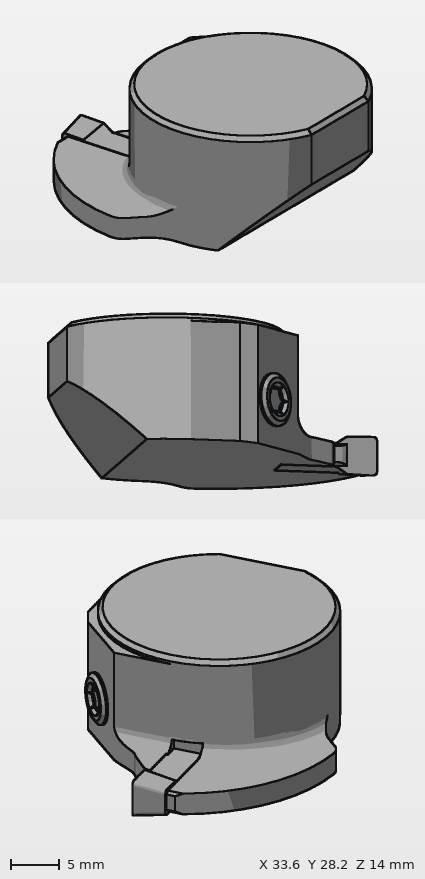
import cadquery as cq
import math

HEAD_RADIUS = 12.5
HEAD_HEIGHT = 13.2
HEAD_CHAMFER = 0.5
HEAD_FLAT_X = 11.5
RELIEF_START_X = 4.5

SHOULDER_HEIGHT = 12.4
SHOULDER_TOP_X = -5.15
SEAT_TOP = (-7.2, 11.6)
SEAT_LOW = (-HEAD_RADIUS, SEAT_TOP[1] - (HEAD_RADIUS + SEAT_TOP[0]))

FOOT_THICKNESS = 2.4
FOOT_BLEND = 1.6
BLEND_TOP = FOOT_THICKNESS + FOOT_BLEND
BLEND_REACH = HEAD_RADIUS + FOOT_BLEND

RIM_CENTER = (-4.6, 2.1)
RIM_RADIUS = 17.89
NOSE_X = -21.25
NOSE_CHAMFER = 0.32
TAIL_BLEND = 5.0
TAIL_CORNER = 2.0

JAW_BEND_START = (-12.95, 5.65)
JAW_BEND_END = (-14.06, 3.76)
JAW_NECK_MIDDLE = (-14.5, 3.2)
JAW_NECK_END = (-15.15, 2.7)
JAW_TIP_START = (-17.1, 0.95)
JAW_TIP_MIDDLE = (-17.36, 0.56)
JAW_TIP_X = -17.5

INSERT_WIDTH = 3.5
SLOT_END_X = -12.0
SLOT_TOP = 3.7
SLOT_LIP = 0.22
SHANK_HEIGHT = 2.5
INSERT_MID_Z = FOOT_THICKNESS / 2
TIP_X = -22.1
TIP_HALF_HEIGHT = 2.04
TIP_BACK_X = -18.9
TIP_BACK_TAPER = 0.08
TIP_CORNER = 0.45
SIDE_RELIEF = 0.57
FRONT_RELIEF = 0.45
TIP_SLOPE = 1.5
TIP_HEEL_BLEND = 0.4
BUMP_HEIGHT = 0.5
BUMP_HALF_HEIGHT = 1.15
BUMP_BEVEL = 0.3
BUMP_CREST_X = -18.0

SCREW_Y = 9.45
SCREW_Z = 5.0
SCREW_DIAMETER = 5.5
SCREW_PROTRUSION = 0.6
SCREW_CHAMFER = (0.37, 0.5)
SOCKET_RADIUS = 1.7
SOCKET_DEPTH = 0.6
SOCKET_LOBES = 6
SOCKET_WAIST = 1.15
COUNTERSINK_RADIUS = 1.75
COUNTERSINK_DEPTH = 0.4
COUNTERSINK_TAPER = 45

OVERCUT = 1.0


def box(x_range, y_range, z_range):
    """Box given by its limits along each axis."""
    corner = (x_range[0], y_range[0], z_range[0])
    length = x_range[1] - x_range[0]
    width = y_range[1] - y_range[0]
    height = z_range[1] - z_range[0]
    return cq.Workplane("XY").box(length, width, height, centered=False).translate(corner)


def build_head():
    """Chamfered disc with a side flat."""
    disc = cq.Workplane("XY").circle(HEAD_RADIUS).extrude(HEAD_HEIGHT)
    keep = box((-2 * HEAD_RADIUS, HEAD_FLAT_X), (-2 * HEAD_RADIUS, 2 * HEAD_RADIUS), (0, HEAD_HEIGHT))
    return disc.intersect(keep).faces(">Z").chamfer(HEAD_CHAMFER)


def cut_underside_relief(body):
    """Remove the 45 degree wedge below the flat."""
    reach = HEAD_RADIUS + OVERCUT
    rise = reach - RELIEF_START_X
    wedge = (
        cq.Workplane("XZ")
        .polyline([(RELIEF_START_X, 0), (reach, 0), (reach, rise)])
        .close()
        .extrude(HEAD_RADIUS + OVERCUT, both=True)
    )
    return body.cut(wedge)


def build_shoulder():
    """Block squaring off the head's -X +Y quarter."""
    return (
        cq.Workplane("XY")
        .polyline([
            (0, 0),
            (0, HEAD_RADIUS),
            (SHOULDER_TOP_X, HEAD_RADIUS),
            SEAT_TOP,
            SEAT_LOW,
            (-HEAD_RADIUS, 0),
        ])
        .close()
        .extrude(SHOULDER_HEIGHT)
    )


def foot_profile():
    """Section below the foot's top face and its fillet to the head."""
    far = 2 * HEAD_RADIUS
    arc_middle = (
        -BLEND_REACH + FOOT_BLEND * math.sin(math.pi / 4),
        BLEND_TOP - FOOT_BLEND * math.cos(math.pi / 4),
    )
    return (
        cq.Workplane("XZ")
        .polyline([(0, 0), (-far, 0), (-far, FOOT_THICKNESS), (-BLEND_REACH, FOOT_THICKNESS)])
        .threePointArc(arc_middle, (-HEAD_RADIUS, BLEND_TOP))
        .lineTo(0, BLEND_TOP)
        .close()
    )


def build_plate():
    """Support plate with its round rim, tail and chamfered nose."""
    diagonal = math.sqrt(0.5)
    blend_center_y = -HEAD_RADIUS - TAIL_BLEND
    blend_end = (-TAIL_BLEND * diagonal, blend_center_y + TAIL_BLEND * diagonal)
    blend_middle = (
        -TAIL_BLEND * math.sin(math.pi / 8),
        blend_center_y + TAIL_BLEND * math.cos(math.pi / 8),
    )
    gap_x = blend_end[0] - RIM_CENTER[0]
    gap_y = blend_end[1] - RIM_CENTER[1]
    along = (gap_x + gap_y) * diagonal
    run = along + math.sqrt(along**2 - gap_x**2 - gap_y**2 + RIM_RADIUS**2)
    tail = (blend_end[0] - run * diagonal, blend_end[1] - run * diagonal)
    nose_y = RIM_CENTER[1] - math.sqrt(RIM_RADIUS**2 - (NOSE_X - RIM_CENTER[0]) ** 2)
    rim_angle = math.radians(230)
    rim_middle = (
        RIM_CENTER[0] + RIM_RADIUS * math.cos(rim_angle),
        RIM_CENTER[1] + RIM_RADIUS * math.sin(rim_angle),
    )
    plate = (
        cq.Workplane("XY")
        .moveTo(0, 0)
        .lineTo(0, -HEAD_RADIUS)
        .threePointArc(blend_middle, blend_end)
        .lineTo(*tail)
        .threePointArc(rim_middle, (NOSE_X, nose_y))
        .lineTo(NOSE_X, 0)
        .close()
        .extrude(BLEND_TOP)
        .edges(cq.selectors.NearestToPointSelector((*tail, BLEND_TOP / 2)))
        .fillet(TAIL_CORNER)
    )
    bevel_x = NOSE_X + NOSE_CHAMFER
    nose_limit = (
        cq.Workplane("XZ")
        .polyline([
            (0, 0),
            (bevel_x, 0),
            (NOSE_X, NOSE_CHAMFER),
            (NOSE_X, FOOT_THICKNESS - NOSE_CHAMFER),
            (bevel_x, FOOT_THICKNESS),
            (bevel_x, BLEND_TOP),
            (0, BLEND_TOP),
        ])
        .close()
        .extrude(2 * HEAD_RADIUS)
    )
    return plate.intersect(nose_limit)


def build_jaw():
    """Clamping jaw on the rake side of the insert."""
    return (
        cq.Workplane("XY")
        .moveTo(0, 0)
        .lineTo(0, SEAT_LOW[1])
        .lineTo(*SEAT_LOW)
        .lineTo(*JAW_BEND_START)
        .lineTo(*JAW_BEND_END)
        .threePointArc(JAW_NECK_MIDDLE, JAW_NECK_END)
        .lineTo(*JAW_TIP_START)
        .threePointArc(JAW_TIP_MIDDLE, (JAW_TIP_X, 0))
        .close()
        .extrude(BLEND_TOP)
    )


def add_screw_head(body):
    """Screw head on the 45 degree seat, with a six-lobe socket."""
    seat_x = SCREW_Y - (SEAT_TOP[1] - SEAT_TOP[0])
    seat = cq.Plane(origin=(seat_x, SCREW_Y, SCREW_Z), xDir=(1, 1, 0), normal=(-1, 1, 0))
    chamfer_axial, chamfer_radial = SCREW_CHAMFER
    radius = SCREW_DIAMETER / 2
    head = (
        cq.Workplane(seat)
        .circle(radius)
        .extrude(SCREW_PROTRUSION)
        .faces(cq.selectors.DirectionMinMaxSelector(seat.zDir, True))
        .chamfer(chamfer_axial, chamfer_radial)
    )
    face = cq.Workplane(seat).workplane(offset=SCREW_PROTRUSION)
    socket = face.moveTo(SOCKET_RADIUS, 0)
    step = 2 * math.pi / SOCKET_LOBES
    for lobe in range(SOCKET_LOBES):
        waist_angle = (lobe + 0.5) * step
        next_angle = (lobe + 1) * step
        socket = socket.threePointArc(
            (SOCKET_WAIST * math.cos(waist_angle), SOCKET_WAIST * math.sin(waist_angle)),
            (SOCKET_RADIUS * math.cos(next_angle), SOCKET_RADIUS * math.sin(next_angle)),
        )
    recess = socket.close().extrude(-SOCKET_DEPTH)
    countersink = face.circle(COUNTERSINK_RADIUS).extrude(-COUNTERSINK_DEPTH, taper=COUNTERSINK_TAPER)
    return body.union(head).cut(countersink).cut(recess)


def build_holder():
    """Head, shoulder, foot and clamping screw as one body, slotted for the insert."""
    straight = foot_profile().extrude(-HEAD_RADIUS)
    around = foot_profile().revolve(90, (0, 0, 0), (0, 1, 0))
    jaw = build_jaw().intersect(straight)
    plate = build_plate().intersect(around)
    holder = build_head().union(build_shoulder()).union(jaw).union(plate)
    holder = cut_underside_relief(holder)
    slot_x = (NOSE_X - OVERCUT, SLOT_END_X)
    shank_top = INSERT_MID_Z + SHANK_HEIGHT / 2
    seat = box(slot_x, (-INSERT_WIDTH, 0), (-OVERCUT, shank_top))
    clearance = box(slot_x, (-INSERT_WIDTH, -SLOT_LIP), (shank_top, SLOT_TOP))
    return add_screw_head(holder.cut(seat).cut(clearance))


def tip_section(front_x, half_height):
    """Section of the cutting tip, sloping down to the shank height."""
    shank_half = SHANK_HEIGHT / 2
    back_half = half_height - TIP_BACK_TAPER
    heel_x = TIP_BACK_X + TIP_SLOPE * (back_half - shank_half)
    upper = [(front_x, half_height), (TIP_BACK_X, back_half), (heel_x, shank_half)]
    lower = [(x, -z) for x, z in reversed(upper)]
    return upper + lower


def build_insert():
    """Cutting insert: relieved tip, straight shank and a bump against the jaw."""
    rake = tip_section(TIP_X, TIP_HALF_HEIGHT)
    back = tip_section(TIP_X + FRONT_RELIEF, TIP_HALF_HEIGHT - SIDE_RELIEF)
    tip = (
        cq.Workplane("XZ", origin=(0, 0, INSERT_MID_Z))
        .polyline(rake)
        .close()
        .workplane(offset=INSERT_WIDTH)
        .polyline(back)
        .close()
        .loft(ruled=True)
    )
    middle_y = -INSERT_WIDTH / 2
    for side in (1, -1):
        corner = (TIP_X, middle_y, INSERT_MID_Z + side * TIP_HALF_HEIGHT)
        tip = tip.edges(cq.selectors.NearestToPointSelector(corner)).fillet(TIP_CORNER)
    shank_z = (INSERT_MID_Z - SHANK_HEIGHT / 2, INSERT_MID_Z + SHANK_HEIGHT / 2)
    shank = box((TIP_BACK_X, SLOT_END_X), (-INSERT_WIDTH, 0), shank_z)
    body = tip.union(shank)
    heel_drop = TIP_HALF_HEIGHT - TIP_BACK_TAPER - SIDE_RELIEF / 2 - SHANK_HEIGHT / 2
    heel_x = TIP_BACK_X + TIP_SLOPE * heel_drop
    for z in shank_z:
        body = body.edges(cq.selectors.NearestToPointSelector((heel_x, middle_y, z))).fillet(TIP_HEEL_BLEND)
    bump = (
        cq.Workplane("XY")
        .moveTo(TIP_BACK_X, 0)
        .threePointArc((BUMP_CREST_X, BUMP_HEIGHT), (JAW_TIP_X, BUMP_HEIGHT))
        .lineTo(JAW_TIP_X, 0)
        .close()
        .extrude(FOOT_THICKNESS)
    )
    root = INSERT_MID_Z - BUMP_HALF_HEIGHT
    crown = INSERT_MID_Z + BUMP_HALF_HEIGHT
    bump_limit = (
        cq.Workplane("YZ", origin=(TIP_BACK_X, 0, 0))
        .polyline([
            (0, root),
            (BUMP_HEIGHT, root + BUMP_BEVEL),
            (BUMP_HEIGHT, crown - BUMP_BEVEL),
            (0, crown),
        ])
        .close()
        .extrude(JAW_TIP_X - TIP_BACK_X)
    )
    return body.union(bump.intersect(bump_limit))


holder = build_holder()
insert = build_insert()
result = cq.Compound.makeCompound([holder.val(), insert.val()])